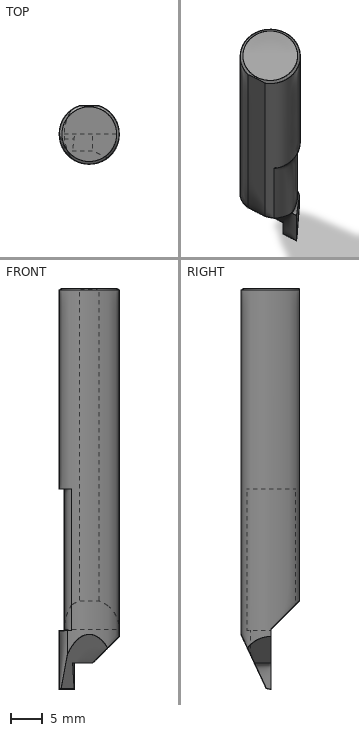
import cadquery as cq
import math

DIAMETER = 9.525
RADIUS = DIAMETER / 2
LENGTH = 63.5
SHANK_FLAT_Y = 4.505
CHAMFER_RADIAL = 0.43
CHAMFER_HEIGHT = 0.25
OUTSIDE = DIAMETER
BELOW_Z = -DIAMETER

RELIEF_BOTTOM_Z = 9.33
RELIEF_TOP_Z = LENGTH / 2
RELIEF_DEPTH = 0.8
RELIEF_HALF_CHORD = 3.84

RAKE_Y = 0.0
RUNOUT_Z = DIAMETER
RUNOUT_ANGLE = 45

TIP_THICKNESS = 0.77
TIP_END_RISE = 0.17
HEEL_ANGLE = 25
FLANK_END_Y = -3.28

TIP_WIDTH = 2.45
TIP_INNER_X = -RADIUS + TIP_WIDTH
TIP_LENGTH = 4.2
SHOULDER_END_X = 0.55
SHOULDER_ANGLE = 45
INNER_WALL_ANGLE = 7


def circle_x(y):
    """Distance of the bar surface from the YZ plane at a given y."""
    return math.sqrt(RADIUS ** 2 - y ** 2)


def tan_deg(angle):
    return math.tan(math.radians(angle))


def make_shank():
    shank = (
        cq.Workplane("XY")
        .circle(RADIUS)
        .extrude(LENGTH)
        .faces(">Z")
        .chamfer(CHAMFER_HEIGHT, CHAMFER_RADIAL)
    )
    flat_cut = cq.Workplane("XY").box(
        DIAMETER, DIAMETER, LENGTH, centered=(True, False, False)
    )
    return shank.cut(flat_cut.translate((0, SHANK_FLAT_Y, 0)))


def make_relief_cut():
    """Material outside the flatter cylinder, over the relief's height."""
    crown_x = -RADIUS + RELIEF_DEPTH
    edge_x = -circle_x(RELIEF_HALF_CHORD)
    return (
        cq.Workplane("XY", origin=(0, 0, RELIEF_BOTTOM_Z))
        .moveTo(edge_x, -RELIEF_HALF_CHORD)
        .threePointArc((crown_x, 0), (edge_x, RELIEF_HALF_CHORD))
        .lineTo(-OUTSIDE, RELIEF_HALF_CHORD)
        .lineTo(-OUTSIDE, -RELIEF_HALF_CHORD)
        .close()
        .extrude(RELIEF_TOP_Z - RELIEF_BOTTOM_Z)
    )


def make_rake_cut():
    runout_rise = (OUTSIDE - RAKE_Y) / tan_deg(RUNOUT_ANGLE)
    return (
        cq.Workplane("YZ")
        .moveTo(RAKE_Y, BELOW_Z)
        .lineTo(RAKE_Y, RUNOUT_Z)
        .lineTo(OUTSIDE, RUNOUT_Z + runout_rise)
        .lineTo(OUTSIDE, BELOW_Z)
        .close()
        .extrude(OUTSIDE, both=True)
    )


def make_heel_cut():
    """End clearance at the tip, then the steep heel plane up the -Y side."""
    heel_rise = (OUTSIDE - TIP_THICKNESS) / tan_deg(HEEL_ANGLE)
    return (
        cq.Workplane("YZ")
        .moveTo(RAKE_Y, 0)
        .lineTo(-TIP_THICKNESS, TIP_END_RISE)
        .lineTo(-OUTSIDE, TIP_END_RISE + heel_rise)
        .lineTo(-OUTSIDE, BELOW_Z)
        .lineTo(RAKE_Y, BELOW_Z)
        .close()
        .extrude(OUTSIDE, both=True)
    )


def make_flank_cut():
    """Flank plane: a chord of the bar from the cutting edge backwards."""
    return (
        cq.Workplane("XY")
        .moveTo(-RADIUS, RAKE_Y)
        .lineTo(-circle_x(FLANK_END_Y), FLANK_END_Y)
        .lineTo(-OUTSIDE, FLANK_END_Y)
        .lineTo(-OUTSIDE, RAKE_Y)
        .close()
        .extrude(RELIEF_BOTTOM_Z)
    )


def make_shoulder_cut():
    """Space under the horizontal shoulder and the sloped +X corner."""
    slope_rise = (OUTSIDE - SHOULDER_END_X) / tan_deg(SHOULDER_ANGLE)
    return (
        cq.Workplane("XZ")
        .moveTo(TIP_INNER_X, BELOW_Z)
        .lineTo(TIP_INNER_X, TIP_LENGTH)
        .lineTo(SHOULDER_END_X, TIP_LENGTH)
        .lineTo(OUTSIDE, TIP_LENGTH + slope_rise)
        .lineTo(OUTSIDE, BELOW_Z)
        .close()
        .extrude(OUTSIDE, both=True)
    )


def make_inner_wall_cut():
    """Wedge that narrows the tip's inner wall away from the rake face."""
    narrowing = RADIUS * tan_deg(INNER_WALL_ANGLE)
    return (
        cq.Workplane("XY")
        .moveTo(TIP_INNER_X, RAKE_Y)
        .lineTo(TIP_INNER_X - narrowing, RAKE_Y - RADIUS)
        .lineTo(TIP_INNER_X, RAKE_Y - RADIUS)
        .close()
        .extrude(TIP_LENGTH)
    )


result = make_shank()
for make_cut in (
    make_relief_cut,
    make_rake_cut,
    make_heel_cut,
    make_flank_cut,
    make_shoulder_cut,
    make_inner_wall_cut,
):
    result = result.cut(make_cut())